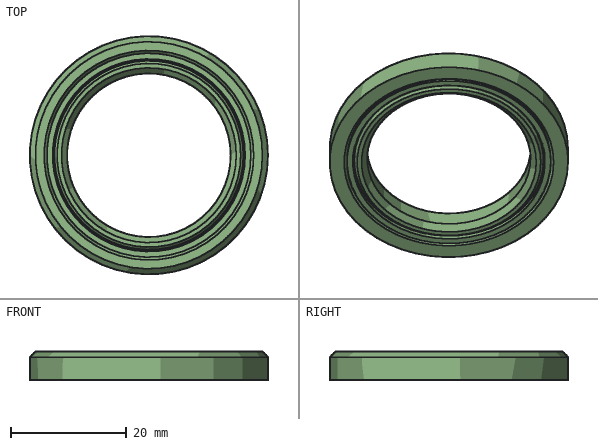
import cadquery as cq

outer_diameter = 41.3
bore_diameter = 28.3
height = 5.0

large_chamfer = 1.0
small_chamfer = 0.5

inner_ring_diameter = 32.8
shield_bore_diameter = 33.3
shield_diameter = 35.3
shield_thickness = 2 * small_chamfer


def revolve_profile(points):
    """Turn an (r, z) outline about the Z axis into one solid."""
    return cq.Workplane("XZ").polyline(points).close().revolve(360, (0, 0, 0), (0, 1, 0))


def make_outer_ring():
    """Ring with a large top outer chamfer and chamfered bore ends."""
    outer = outer_diameter / 2
    seat = shield_diameter / 2
    return revolve_profile([
        (seat + small_chamfer, 0),
        (outer, 0),
        (outer, height - large_chamfer),
        (outer - large_chamfer, height),
        (seat + small_chamfer, height),
        (seat, height - small_chamfer),
        (seat, small_chamfer),
    ])


def make_inner_ring():
    """Ring with large chamfers at the bore ends and small ones on the outside."""
    bore = bore_diameter / 2
    outer = inner_ring_diameter / 2
    return revolve_profile([
        (bore + large_chamfer, 0),
        (outer - small_chamfer, 0),
        (outer, small_chamfer),
        (outer, height - small_chamfer),
        (outer - small_chamfer, height),
        (bore + large_chamfer, height),
        (bore, height - large_chamfer),
        (bore, large_chamfer),
    ])


def make_shield(base_z):
    """Flat annular shield seated in the bore of the outer ring."""
    return (
        cq.Workplane("XY", origin=(0, 0, base_z))
        .circle(shield_diameter / 2)
        .circle(shield_bore_diameter / 2)
        .extrude(shield_thickness)
    )


outer_ring = make_outer_ring()
inner_ring = make_inner_ring()

shields = [make_shield(base_z) for base_z in (0, height - shield_thickness)]

result = cq.Compound.makeCompound([
    outer_ring.val(),
    inner_ring.val(),
    *[shield.val() for shield in shields],
])